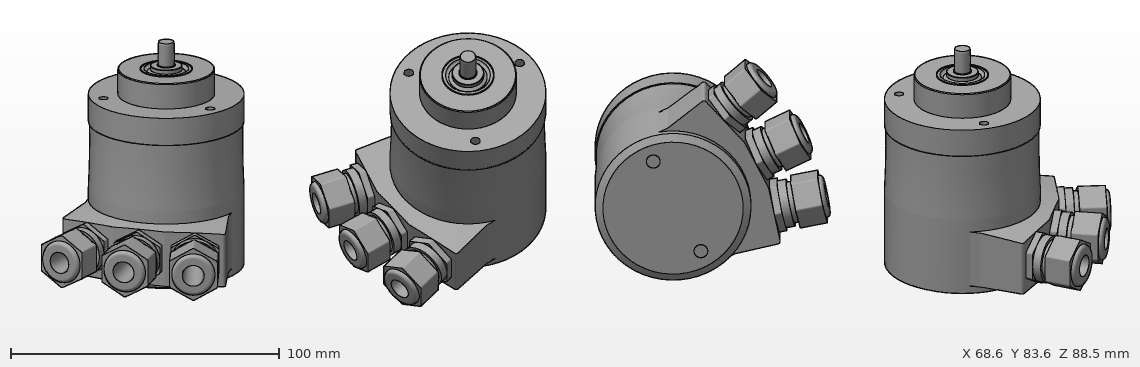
import cadquery as cq
import math

total_height = 88.5
body_radius = 29.0
base_z = 0.3
base_radius = 26.1
base_taper_top_z = 1.7
sleeve_bottom_z = 31.4
sleeve_top_z = 57.35
sleeve_top_radius = 28.6
sleeve_mid_radius = 28.6
flange_top_z = 68.1

boss_radius = 18.05
boss_top_z = 78.0
boss_chamfer = 0.35

foot_radius = 2.6
foot_x = 19.8
foot_y = -1.7

shaft_radius = 3.0
shaft_chamfer_width = 0.2
shaft_chamfer_height = 0.9
collar_radius = 5.9
collar_top_z = 79.2
collar_chamfer = 0.2
shaft_ring_radius = 3.4
shaft_ring_height = 0.3
seam_outer_radius = 9.7
seam_width = 0.3
seam_depth = 0.3
seal_outer_radius = 8.3
seal_bottom_radius = 7.2
seal_depth = 1.2
seal_cone_drop = 0.35

mount_hole_count = 3
mount_hole_radius = 1.73
mount_hole_pitch_radius = 24.0
mount_hole_depth = 8.0
drill_tip_height = mount_hole_radius * math.tan(math.radians(31))

side_angle = 15.0
block_bottom_z = 4.5
block_top_z = 26.55
block_top_slope = 6.0
block_front_y = -34.7
front_half_width = 10.0
block_half_width = 31.8
block_shoulder_x = 27.9
block_shoulder_y = -11.95
block_edge_fillet = 1.1
corner_y = block_front_y + (block_half_width - front_half_width) * math.tan(math.radians(side_angle))

gland_z = 15.4
hex_across_flats = 17.9
hex_edge_fillet = 0.9
base_hex_length = 2.8
rim_length = 3.3
neck_length = 1.9
neck_radius = 7.8
nut_length = 10.3
dome_length = 1.6
dome_radius = 8.05
dome_fillet = 1.5
cable_hole_radius = 4.1
cable_hole_depth = 26.55
gland_root = 0.9
gland_length = base_hex_length + rim_length + neck_length + nut_length + dome_length


def cylinder(radius, bottom_z, top_z):
    return cq.Workplane("XY").workplane(offset=bottom_z).circle(radius).extrude(top_z - bottom_z)


def make_housing():
    sleeve_mid_z = (sleeve_bottom_z + sleeve_top_z) / 2
    profile = (
        cq.Workplane("XZ")
        .moveTo(0, base_z)
        .lineTo(base_radius, base_z)
        .lineTo(body_radius, base_taper_top_z)
        .lineTo(body_radius, sleeve_bottom_z)
        .threePointArc((sleeve_mid_radius, sleeve_mid_z), (sleeve_top_radius, sleeve_top_z))
        .lineTo(body_radius, sleeve_top_z)
        .lineTo(body_radius, flange_top_z)
        .lineTo(boss_radius, flange_top_z)
        .lineTo(boss_radius, boss_top_z - boss_chamfer)
        .lineTo(boss_radius - boss_chamfer, boss_top_z)
        .lineTo(0, boss_top_z)
        .close()
    )
    housing = profile.revolve(360, (0, 0, 0), (0, 1, 0))
    for x in (-foot_x, foot_x):
        foot = cylinder(foot_radius, 0, base_taper_top_z).translate((x, foot_y, 0))
        housing = housing.union(foot)
    return housing


def make_shaft():
    root_z = boss_top_z - seal_depth
    collar = cylinder(collar_radius, root_z, collar_top_z).faces(">Z").chamfer(collar_chamfer)
    ring = cylinder(shaft_ring_radius, root_z, collar_top_z + shaft_ring_height)
    shaft = (
        cylinder(shaft_radius, root_z, total_height)
        .faces(">Z")
        .edges()
        .chamfer(shaft_chamfer_height, shaft_chamfer_width)
    )
    return collar.union(ring).union(shaft)


def make_seal_grooves():
    seam = cylinder(seam_outer_radius, boss_top_z - seam_depth, boss_top_z).cut(
        cylinder(seam_outer_radius - seam_width, boss_top_z - seam_depth, boss_top_z)
    )
    corner_share = math.sin(math.radians(45))
    arc_mid = (
        seal_bottom_radius + (seal_outer_radius - seal_bottom_radius) * corner_share,
        boss_top_z - seal_depth * corner_share,
    )
    seal = (
        cq.Workplane("XZ")
        .moveTo(collar_radius, boss_top_z - seal_cone_drop)
        .lineTo(collar_radius, boss_top_z)
        .lineTo(seal_outer_radius, boss_top_z)
        .threePointArc(arc_mid, (seal_bottom_radius, boss_top_z - seal_depth))
        .close()
        .revolve(360, (0, 0, 0), (0, 1, 0))
    )
    return seam.union(seal)


def make_mount_holes():
    floor_z = flange_top_z - mount_hole_depth
    hole = (
        cq.Workplane("XZ")
        .moveTo(0, flange_top_z)
        .lineTo(mount_hole_radius, flange_top_z)
        .lineTo(mount_hole_radius, floor_z)
        .lineTo(0, floor_z - drill_tip_height)
        .close()
        .revolve(360, (0, 0, 0), (0, 1, 0))
        .translate((0, mount_hole_pitch_radius, 0))
    )
    holes = cq.Workplane("XY")
    for i in range(mount_hole_count):
        holes = holes.add(hole.rotate((0, 0, 0), (0, 0, 1), i * 360 / mount_hole_count))
    return holes.combine()


def make_block():
    block = (
        cq.Workplane("XY")
        .workplane(offset=block_bottom_z)
        .polyline([
            (-block_shoulder_x, 0),
            (-block_shoulder_x, block_shoulder_y),
            (-block_half_width, corner_y),
            (-front_half_width, block_front_y),
            (front_half_width, block_front_y),
            (block_half_width, corner_y),
            (block_shoulder_x, block_shoulder_y),
            (block_shoulder_x, 0),
        ])
        .close()
        .extrude(block_top_z - block_bottom_z)
    )
    block = block.edges("|Z and (<X or >X)").fillet(block_edge_fillet)
    reach = 2 * body_radius
    slope = math.tan(math.radians(block_top_slope))
    envelope = (
        cq.Workplane("XZ")
        .moveTo(0, block_bottom_z)
        .lineTo(reach, block_bottom_z)
        .lineTo(reach, block_top_z - (reach - body_radius) * slope)
        .lineTo(body_radius, block_top_z)
        .lineTo(0, block_top_z)
        .close()
        .revolve(360, (0, 0, 0), (0, 1, 0))
    )
    return block.intersect(envelope)


def hex_bar(start, end):
    """Hexagon along Z with corners on the Y axis and softened long edges."""
    across_corners = hex_across_flats / math.cos(math.radians(30))
    bar = cq.Workplane("XY").workplane(offset=start).polygon(6, across_corners).extrude(end - start)
    return bar.edges("|Z").fillet(hex_edge_fillet).rotate((0, 0, 0), (0, 0, 1), 30)


def make_gland():
    """Gland along +Z, with the block face at Z = 0."""
    rim_end = base_hex_length + rim_length
    nut_start = rim_end + neck_length
    nut_end = nut_start + nut_length
    dome = cylinder(dome_radius, nut_start, gland_length).faces(">Z").edges().fillet(dome_fillet)
    return (
        hex_bar(-gland_root, base_hex_length)
        .union(cylinder(hex_across_flats / 2, 0, rim_end))
        .union(cylinder(neck_radius, 0, nut_start))
        .union(hex_bar(nut_start, nut_end))
        .union(dome)
    )


def place_gland(shape, x, y, angle):
    """Point the +Z shape along -Y, turn it about Z and move it to its face."""
    outward = shape.rotate((0, 0, 0), (1, 0, 0), 90)
    return outward.rotate((0, 0, 0), (0, 0, 1), angle).translate((x, y, gland_z))


side_gland_x = (front_half_width + block_half_width) / 2
side_gland_y = (block_front_y + corner_y) / 2
gland_places = [
    (0, block_front_y, 0),
    (-side_gland_x, side_gland_y, -side_angle),
    (side_gland_x, side_gland_y, side_angle),
]

result = make_housing().cut(make_seal_grooves()).cut(make_mount_holes())
result = result.union(make_shaft()).union(make_block())

gland = make_gland()
cable_hole = cylinder(cable_hole_radius, gland_length - cable_hole_depth, gland_length)
for place in gland_places:
    result = result.union(place_gland(gland, *place))
for place in gland_places:
    result = result.cut(place_gland(cable_hole, *place))